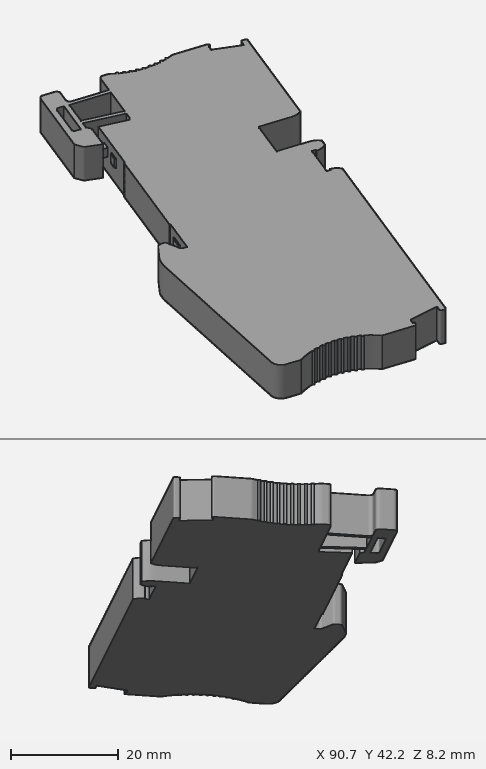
import cadquery as cq
import math

length = 90.7
width = 42.2
thickness = 8.2

latch_bottom = 34.8
lip_height = 0.4
hook_thickness = 1.3
hook_reach = 1.4
left_latch_inset = 1.7
left_lip_width = 0.6
right_latch_inset = 1.9
right_lip_width = 0.9
hook_radius = 0.4
lip_radius = 0.45

left_scallop_center = 21.1
left_scallop_half = 6.5
left_scallop_depth = 1.4
right_scallop_center = 19.8
right_scallop_half = 8.3
right_scallop_depth = 2.45
scallop_end_radius = 1.6
rib_radius = 0.3
rib_count = 9
rib_span = 10.3
rib_pitch = rib_span / (rib_count - 1)

slot_left = 25.85
slot_right = 33.7
slot_floor = 33.2
slot_flare_height = 2.4
slot_flare = 0.7
arc_bulge = 0.2
arc_middle_drop = 0.5
recess_left = 36.5
recess_right = 42.9
recess_floor = 39.2
recess_lip = 40.0
recess_overhang = 0.3
recess_round = 0.9

underside = 6.3
pad_height = 0.2
pad_left = 24.7
pad_right = 44.5
shelf = 12.6
shelf_radius = 0.7
wall_top_x = 13.8
wall_bottom_x = 13.15
wall_radius = 0.45

claw_root = 51.9
claw_root_bottom = 5.1
claw_tip = 49.0
claw_tip_top = 3.2
claw_tip_bottom = 1.6
claw_heel_left = 53.2
claw_heel_right = 55.0
claw_tip_radius = 0.6
claw_heel_radius = 2.2
slope_end = 6.4
lower_corner_radius = 2.4

foot_left = 0.45
foot_right = 18.05
foot_top = 4.1
foot_pad_top = 4.9
foot_pad_left = 13.15
foot_pad_slope = 0.8
foot_toe_top = 4.5
foot_toe_right = 17.3
foot_toe_bottom = 1.3
foot_toe_left = 15.9
foot_radius = 0.8
leg_width = 0.8
leg_root_radius = 0.8
left_leg_x = 4.3
right_leg_top_x = 11.1
right_leg_bottom_x = 10.2
foot_slot_left = 5.0
foot_slot_right = 12.4
foot_slot_bottom = 1.4
foot_slot_top = 3.0
foot_slot_radius = 0.5

key_bottom = 4.0
key_height = 2.2
key_projection = 0.3
key_bevel = 0.3
left_key_x = 18.9
left_key_width = 2.1
right_key_x = 46.1
right_key_width = 2.9
post_x = 15.7
post_width = 1.5


def latch(end_x, inward, inset, lip_width):
    """Outline of one latch notch from the outer wall up to the top edge."""
    tip = end_x + inward * inset
    neck = tip + inward * hook_reach
    lip = end_x + inward * lip_width
    return [
        (end_x, latch_bottom + lip_height),
        (lip, latch_bottom + lip_height),
        (lip, latch_bottom),
        (tip, latch_bottom),
        (neck, width - hook_thickness),
        (tip, width - hook_thickness),
        (tip, width),
    ]


def round_corner(solid, corner, radius):
    """Fillet the upright edge that stands at the given XY corner."""
    x, y = corner
    edge = cq.NearestToPointSelector((x, y, thickness / 2))
    return solid.edges("|Z").edges(edge).fillet(radius)


def make_body():
    left_latch = latch(0, 1, left_latch_inset, left_lip_width)
    right_latch = latch(length, -1, right_latch_inset, right_lip_width)
    flare_bottom = width - slot_flare_height
    overhang_left = recess_left + recess_overhang
    overhang_right = recess_right - recess_overhang
    flare_bulge = arc_bulge * slot_flare
    flare_middle = width - arc_middle_drop * slot_flare_height
    recess_bulge = arc_bulge * recess_round
    recess_middle = width - arc_middle_drop * (width - recess_lip)

    outline = (
        cq.Workplane("XY")
        .moveTo(0, left_scallop_center + left_scallop_half)
        .polyline(left_latch, includeCurrent=True)
        .lineTo(slot_left - slot_flare, width)
        .threePointArc((slot_left - flare_bulge, flare_middle), (slot_left, flare_bottom))
        .lineTo(slot_left, slot_floor)
        .lineTo(slot_right, slot_floor)
        .lineTo(slot_right, flare_bottom)
        .threePointArc((slot_right + flare_bulge, flare_middle), (slot_right + slot_flare, width))
        .lineTo(overhang_left - recess_round, width)
        .threePointArc(
            (overhang_left - recess_bulge, recess_middle),
            (overhang_left, recess_lip),
        )
        .lineTo(recess_left, recess_lip)
        .lineTo(recess_left, recess_floor)
        .lineTo(recess_right, recess_floor)
        .lineTo(recess_right, recess_lip)
        .lineTo(overhang_right, recess_lip)
        .threePointArc(
            (overhang_right + recess_bulge, recess_middle),
            (overhang_right + recess_round, width),
        )
        .polyline(right_latch[::-1], includeCurrent=True)
        .lineTo(length, right_scallop_center + right_scallop_half)
        .threePointArc(
            (length - right_scallop_depth, right_scallop_center),
            (length, right_scallop_center - right_scallop_half),
        )
        .lineTo(length, slope_end)
        .lineTo(claw_heel_right, 0)
        .lineTo(claw_heel_left, 0)
        .lineTo(claw_tip, claw_tip_bottom)
        .lineTo(claw_tip, claw_tip_top)
        .lineTo(claw_root, claw_root_bottom)
        .lineTo(claw_root, underside)
        .lineTo(pad_right, underside)
        .lineTo(pad_right, underside - pad_height)
        .lineTo(pad_left, underside - pad_height)
        .lineTo(pad_left, underside)
        .lineTo(wall_bottom_x, underside)
        .lineTo(wall_top_x, shelf)
        .lineTo(0, shelf)
        .lineTo(0, left_scallop_center - left_scallop_half)
        .threePointArc(
            (left_scallop_depth, left_scallop_center),
            (0, left_scallop_center + left_scallop_half),
        )
        .close()
    )
    body = outline.extrude(thickness)

    for points in (left_latch, right_latch):
        lip_corner = points[0]
        body = round_corner(body, lip_corner, lip_radius)
        for tip in points[-2:]:
            body = round_corner(body, tip, hook_radius)
    for side in (-1, 1):
        scallop_end = (0, left_scallop_center + side * left_scallop_half)
        body = round_corner(body, scallop_end, scallop_end_radius)
    body = round_corner(body, (length, slope_end), lower_corner_radius)
    body = round_corner(body, (claw_heel_left, 0), claw_heel_radius)
    body = round_corner(body, (claw_tip, claw_tip_bottom), claw_tip_radius)
    body = round_corner(body, (claw_tip, claw_tip_top), claw_tip_radius)
    body = round_corner(body, (claw_root, claw_root_bottom), claw_tip_radius)
    body = round_corner(body, (wall_top_x, shelf), wall_radius)
    return round_corner(body, (0, shelf), shelf_radius)


def scallop_ribs(end_x, inward, center_y, half, depth):
    """Half-round ribs spaced evenly along one scallop arc."""
    radius = (half**2 + depth**2) / (2 * depth)
    center_x = end_x + inward * (depth - radius)
    middle = (rib_count - 1) / 2
    points = []
    for i in range(rib_count):
        angle = (i - middle) * rib_pitch / radius
        x = center_x + inward * radius * math.cos(angle)
        y = center_y + radius * math.sin(angle)
        points.append((x, y))
    return cq.Workplane("XY").pushPoints(points).circle(rib_radius).extrude(thickness)


def make_leg(top_x, bottom_x):
    """Thin leg whose ends sit flush on the shelf and on the foot."""
    points = [
        (bottom_x, foot_top),
        (bottom_x + leg_width, foot_top),
        (top_x + leg_width, shelf),
        (top_x, shelf),
    ]
    return cq.Workplane("XY").polyline(points).close().extrude(thickness)


def make_foot():
    foot = (
        cq.Workplane("XY")
        .moveTo(foot_left, 0)
        .lineTo(foot_left, foot_top)
        .lineTo(foot_pad_left - foot_pad_slope, foot_top)
        .lineTo(foot_pad_left, foot_pad_top)
        .lineTo(foot_right, foot_pad_top)
        .lineTo(foot_right, foot_toe_top)
        .lineTo(foot_toe_right, foot_toe_bottom)
        .lineTo(foot_toe_left, 0)
        .close()
        .extrude(thickness)
    )
    for corner in ((foot_left, 0), (foot_left, foot_top), (foot_toe_right, foot_toe_bottom)):
        foot = round_corner(foot, corner, foot_radius)

    slot = (
        cq.Workplane("XY")
        .moveTo(foot_slot_left, foot_slot_bottom)
        .lineTo(foot_slot_right, foot_slot_bottom)
        .lineTo(foot_slot_right, foot_slot_top)
        .lineTo(foot_slot_left, foot_slot_top)
        .close()
        .extrude(thickness)
    )
    for x in (foot_slot_left, foot_slot_right):
        slot = round_corner(slot, (x, foot_slot_bottom), foot_slot_radius)
    return foot.cut(slot)


def make_key(x, key_width, projection, bevel):
    """Small block standing out from the underside, with both X sides sloping in by the bevel."""
    return (
        cq.Workplane("XY", origin=(x, underside, key_bottom))
        .lineTo(bevel, -projection)
        .lineTo(key_width - bevel, -projection)
        .lineTo(key_width, 0)
        .close()
        .extrude(key_height)
    )


result = (
    make_body()
    .union(scallop_ribs(0, 1, left_scallop_center, left_scallop_half, left_scallop_depth))
    .union(scallop_ribs(length, -1, right_scallop_center, right_scallop_half, right_scallop_depth))
    .union(make_leg(left_leg_x, left_leg_x))
    .union(make_leg(right_leg_top_x, right_leg_bottom_x))
    .union(make_foot())
    .union(make_key(left_key_x, left_key_width, key_projection, key_bevel))
    .union(make_key(right_key_x, right_key_width, key_projection, key_bevel))
    .union(make_key(post_x, post_width, underside - foot_pad_top, 0))
)
result = round_corner(result, (left_leg_x, foot_top), leg_root_radius)